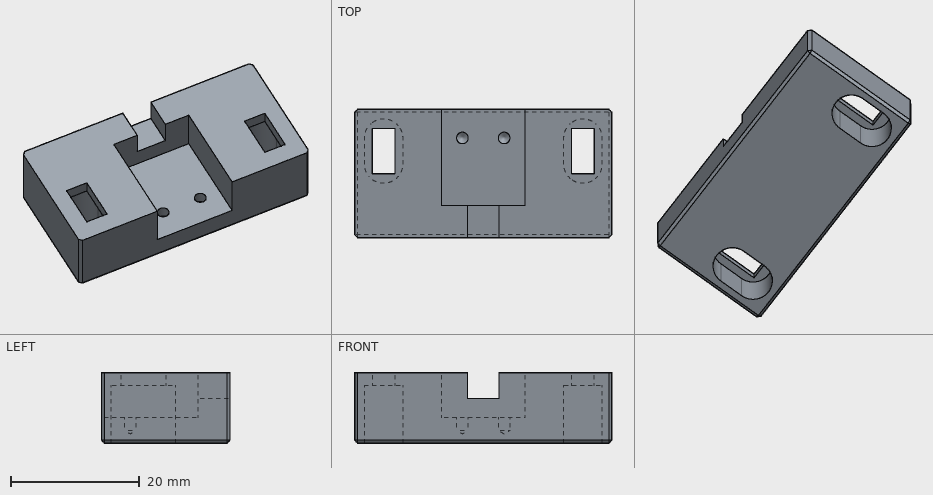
import cadquery as cq
import math

length = 40.0
width = 20.0
height = 11.0
edge_chamfer = 0.5

pocket_width = 13.05
pocket_length = 15.0
pocket_depth = 7.0
channel_width = 4.9
channel_depth = 4.0

window_width = 3.5
window_length = 7.0
window_spacing = 31.0
window_center_y = 3.5

window_ledge_depth = 2.0
recess_width = 6.0
recess_length = 10.0

hole_diameter = 1.8
hole_spacing = 6.5
hole_back_offset = 4.5
hole_depth = 2.0
drill_tip_angle = 118

back_y = width / 2
pocket_floor_z = height - pocket_depth


def make_block():
    """Block with chamfered vertical and bottom edges."""
    block = cq.Workplane("XY").box(length, width, height, centered=(True, True, False))
    return block.edges("|Z or <Z").chamfer(edge_chamfer)


def make_pocket():
    return (
        cq.Workplane("XY", origin=(0, back_y - pocket_length / 2, pocket_floor_z))
        .box(pocket_width, pocket_length, pocket_depth, centered=(True, True, False))
    )


def make_channel():
    return (
        cq.Workplane("XY", origin=(0, 0, height - channel_depth))
        .box(channel_width, width, channel_depth, centered=(True, True, False))
    )


def make_windows():
    return (
        cq.Workplane("XY", origin=(0, window_center_y, 0))
        .rarray(window_spacing, 0.4, 2, 1)
        .rect(window_width, window_length)
        .extrude(height)
    )


def make_recesses():
    """Slots with round ends that widen the windows from below."""
    return (
        cq.Workplane("XY", origin=(0, window_center_y, 0))
        .rarray(window_spacing, 0.4, 2, 1)
        .slot2D(recess_length, recess_width, 90)
        .extrude(height - window_ledge_depth)
    )


def make_holes():
    """Drilled holes with a cone at the bottom."""
    hole_radius = hole_diameter / 2
    tip_length = hole_radius / math.tan(math.radians(drill_tip_angle / 2))
    profile = (
        cq.Workplane("XZ")
        .polyline([(0, 0), (hole_radius, 0), (hole_radius, -hole_depth), (0, -hole_depth - tip_length)])
        .close()
    )
    drill = profile.revolve(360, (0, 0), (0, 1))
    hole_y = back_y - hole_back_offset
    left = drill.translate((-hole_spacing / 2, hole_y, pocket_floor_z))
    right = drill.translate((hole_spacing / 2, hole_y, pocket_floor_z))
    return left.add(right)


result = make_block()
for cutter in (make_pocket(), make_channel(), make_windows(), make_recesses(), make_holes()):
    result = result.cut(cutter)